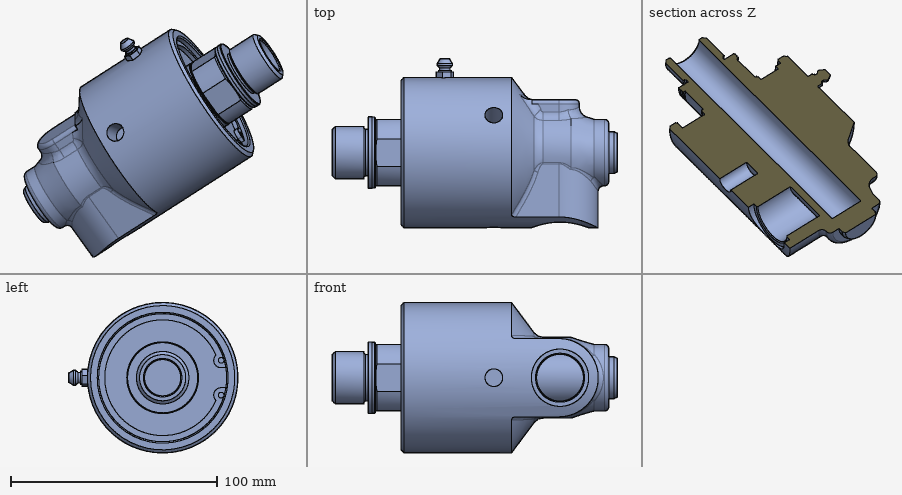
import cadquery as cq


body_radius = 36.5
body_start = 33.3
body_end = 87.0
body_chamfer = 1.5
neck_radius = 19.6
neck_start = 99.5
neck_end = 115.8
cone_fillet = 5.5
boss_radius = 16.2
boss_start = 127.0
boss_end = 134.1
boss_fillet = 2.1
tip_radius = 10.2
tip_chamfer_length = 1.7
tip_chamfer_depth = 0.8
total_length = 138.2

pick_margin = 0.1
cut_margin = 1.4

recess_radius = 62.0 / 2
recess_floor = 38.0
recess_chamfer = 0.7

ring_start = 36.0
ring_inner_radius = 28.0
ear_radius = 3.6
ear_hole_diameter = 2.8
ear_y = -28.3
ear_z = 8.5

thread_radius = 25.5 / 2
thread_end = 15.3
thread_chamfer = 1.5
relief_radius = 22.7 / 2
relief_start_radius = 11.9
relief_slope_length = 0.8
flange_start = 17.3
flange_end = 21.0
flange_radius = 34.8 / 2
flange_step = 19.2
flange_step_depth = 0.1
flange_chamfer = 0.4
shank_chamfer_length = 0.7
shank_chamfer_depth = 1.7
flats_width = 32.2
flats_end = 35.1
groove_width = 0.5
groove_depth = 0.4
bore_radius = 17.5 / 2
bore_chamfer = 0.5
bore_end = boss_start

lug_x = 110.0
lug_radius = 19.0
lug_fillet = 2.5
lug_joint_y = (-27.6, -5.0)
port_x = 110.5
port_radius = 22.7 / 2
port_chamfer = 0.5
seat_radius = 27.8 / 2
seat_y = -33.2
core_radius = 25.3 / 2

pad_x = lug_x
pad_radius = 9.8
pad_y = 25.7
pad_top_fillet = 2.1
pad_base_fillet = 5.1
pad_joint_y = (13.8, 24.3)
pad_rounding_start = 96.8

radial_hole_count = 3
radial_hole_x = 78.4
radial_hole_diameter = 8.6
radial_hole_depth = 16.6

nipple_x = 54.6
nipple_root_depth = 3.5
nipple_turn = 14.0
nipple_hex_diameter = 8.7
nipple_hex_top = 39.1
nipple_collar_radius = 3.2
nipple_collar_top = 39.8
nipple_neck_radius = 2.6
nipple_neck_top = 41.0
nipple_head_bottom = 42.3
nipple_head_top = 43.1
nipple_head_radius = 3.7
nipple_tip_radius = 2.2
nipple_top = 45.6


def turned(profile):
    """Solid of revolution about X from (x, radius) points, closed along the axis."""
    points = [(profile[0][0], 0)] + profile + [(profile[-1][0], 0)]
    return cq.Workplane("XY").polyline(points).close().revolve(360, (0, 0, 0), (1, 0, 0))


def along_x(radius, start, end):
    return cq.Workplane("YZ").workplane(offset=start).circle(radius).extrude(end - start)


def along_minus_y(radius, x, y_from, y_to):
    """Cylinder about a line parallel to Y, from y_from down to y_to."""
    return (
        cq.Workplane("XZ", origin=(x, y_from, 0))
        .circle(radius)
        .extrude(y_from - y_to)
    )


def rounded_bar(radius, x_from, x_end, y_from, y_to):
    """Bar along X with a round end about x_end, spanning y_from down to y_to."""
    return (
        cq.Workplane("XZ", origin=(0, y_from, 0))
        .moveTo(x_from, -radius)
        .lineTo(x_end, -radius)
        .threePointArc((x_end + radius, 0), (x_end, radius))
        .lineTo(x_from, radius)
        .close()
        .extrude(y_from - y_to)
    )


def housing():
    core = turned([
        (body_start, body_radius - body_chamfer),
        (body_start + body_chamfer, body_radius),
        (body_end, body_radius),
        (neck_start, neck_radius),
        (neck_end, neck_radius),
        (boss_start, boss_radius),
        (boss_end, boss_radius),
    ])
    cone_foot = cq.selectors.BoxSelector(
        (neck_start - pick_margin, -body_radius, -body_radius),
        (neck_start + pick_margin, body_radius, body_radius),
    )
    core = core.edges(cone_foot).fillet(cone_fillet)
    return core.faces(">X").edges().fillet(boss_fillet)


def side_joints(y_from, y_to):
    """Selector for the edges where a side bar meets the turned core, between two Y levels."""
    near_core = cq.selectors.BoxSelector(
        (body_end + pick_margin, y_from, -body_radius), (boss_end, y_to, body_radius)
    )
    return near_core - cq.selectors.ParallelDirSelector(cq.Vector(0, 1, 0))


def with_lug(core):
    bar = rounded_bar(lug_radius, body_end, lug_x, 0, -2 * body_radius)
    bar = bar.intersect(along_x(body_radius, body_end, total_length))
    return core.union(bar).edges(side_joints(*lug_joint_y)).fillet(lug_fillet)


def with_pad(core):
    bar = rounded_bar(pad_radius, body_end, pad_x, pad_y, 0)
    top_joint = cq.selectors.BoxSelector(
        (body_end, 0, -pad_radius), (pad_rounding_start, pad_y + pick_margin, pad_radius)
    )
    joints = side_joints(*pad_joint_y) + top_joint
    padded = core.union(bar).edges(joints).fillet(pad_base_fillet)
    rim_bottom = pad_y - pad_top_fillet
    stock = rounded_bar(pad_radius + cut_margin, pad_rounding_start, pad_x, pad_y + cut_margin, rim_bottom)
    rounded = rounded_bar(pad_radius, pad_rounding_start, pad_x, pad_y, rim_bottom - cut_margin)
    rounded = rounded.faces(">Y").edges("not <X").fillet(pad_top_fillet)
    return padded.cut(stock.cut(rounded))


def housing_recess():
    recess = along_x(recess_radius, body_start, recess_floor)
    mouth = turned([
        (body_start, recess_radius + recess_chamfer),
        (body_start + recess_chamfer, recess_radius),
    ])
    return recess.union(mouth)


def retaining_ring():
    band = along_x(recess_radius, ring_start, recess_floor)
    band = band.cut(along_x(ring_inner_radius, ring_start, recess_floor))
    opening = cq.Workplane("XY").box(total_length, 2 * body_radius, 2 * ear_z)
    band = band.cut(opening.translate((0, -body_radius, 0)))
    thickness = recess_floor - ring_start
    ear_points = [(ear_y, ear_z), (ear_y, -ear_z)]
    plane = cq.Workplane("YZ").workplane(offset=ring_start)
    ears = plane.pushPoints(ear_points).circle(ear_radius).extrude(thickness)
    outer_corners = plane.pushPoints([(ear_y - ear_radius / 2, z) for y, z in ear_points])
    ears = ears.union(outer_corners.rect(ear_radius, 2 * ear_radius).extrude(thickness))
    ears = ears.intersect(along_x(recess_radius, ring_start, recess_floor))
    holes = plane.pushPoints(ear_points).circle(ear_hole_diameter / 2).extrude(thickness)
    return band.union(ears).cut(holes)


def spindle():
    rear_radius = flange_radius - flange_step_depth
    body = turned([
        (0, thread_radius - thread_chamfer),
        (thread_chamfer, thread_radius),
        (thread_end, thread_radius),
        (thread_end, relief_start_radius),
        (thread_end + relief_slope_length, relief_radius),
        (flange_start, relief_radius),
        (flange_start, flange_radius - flange_chamfer),
        (flange_start + flange_chamfer, flange_radius),
        (flange_step, flange_radius),
        (flange_step, rear_radius),
        (flange_end - flange_chamfer, rear_radius),
        (flange_end, rear_radius - flange_chamfer),
        (flange_end, flange_radius - shank_chamfer_depth),
        (flange_end + shank_chamfer_length, flange_radius),
        (flats_end, flange_radius),
        (flats_end, flange_radius - groove_depth),
        (flats_end + groove_width, flange_radius - groove_depth),
        (flats_end + groove_width, flange_radius),
        (recess_floor, flange_radius),
    ])
    across = 3 * flange_radius
    flats = cq.Workplane("YZ").workplane(offset=flange_end).rect(across, across)
    flats = flats.rect(flats_width, flats_width).extrude(flats_end - flange_end)
    return body.cut(flats)


def spindle_bore():
    bore = along_x(bore_radius, 0, bore_end)
    mouth = turned([(0, bore_radius + bore_chamfer), (bore_chamfer, bore_radius)])
    return bore.union(mouth)


def end_tip():
    return turned([
        (boss_end, tip_radius),
        (total_length - tip_chamfer_length, tip_radius),
        (total_length, tip_radius - tip_chamfer_depth),
    ])


def port():
    seat = along_minus_y(seat_radius, port_x, seat_y, -body_radius)
    mouth = (
        cq.Workplane("XZ", origin=(port_x, seat_y, 0))
        .circle(port_radius + port_chamfer)
        .workplane(offset=-port_chamfer)
        .circle(port_radius)
        .loft()
    )
    bore = along_minus_y(port_radius, port_x, 0, seat_y)
    return seat.union(mouth).union(bore).cut(along_x(core_radius, body_end, boss_end))


def radial_hole(turn):
    floor_y = radial_hole_depth - body_radius
    hole = along_minus_y(
        radial_hole_diameter / 2, radial_hole_x, floor_y, -body_radius - cut_margin
    )
    return hole.rotate((0, 0, 0), (1, 0, 0), turn)


def grease_nipple():
    base = body_radius - nipple_root_depth
    hexagon = (
        cq.Workplane("XZ", origin=(0, base, 0))
        .polygon(6, nipple_hex_diameter)
        .extrude(base - nipple_hex_top)
        .rotate((0, 0, 0), (0, 1, 0), nipple_turn)
    )
    head = (
        cq.Workplane("XY")
        .moveTo(0, base)
        .lineTo(nipple_collar_radius, base)
        .lineTo(nipple_collar_radius, nipple_collar_top)
        .lineTo(nipple_neck_radius, nipple_collar_top)
        .lineTo(nipple_neck_radius, nipple_neck_top)
        .lineTo(nipple_head_radius, nipple_head_bottom)
        .lineTo(nipple_head_radius, nipple_head_top)
        .lineTo(nipple_tip_radius, nipple_top)
        .lineTo(0, nipple_top)
        .close()
        .revolve(360, (0, 0, 0), (0, 1, 0))
    )
    return hexagon.union(head).translate((nipple_x, 0, 0))


result = with_pad(with_lug(housing()))
result = result.cut(housing_recess())
result = result.union(retaining_ring())
result = result.union(spindle())
result = result.union(end_tip())
result = result.cut(spindle_bore())
result = result.cut(port())
for index in range(radial_hole_count):
    result = result.cut(radial_hole(index * 360 / radial_hole_count))
result = result.union(grease_nipple())